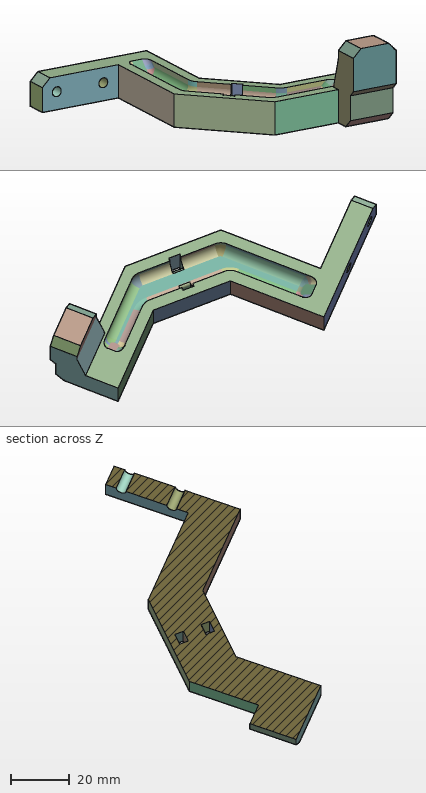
import cadquery as cq
import math

length = 97.25
thickness = 12.0
foot_width = 8.0
cross_arm_bottom = 30.1
cross_arm_width = 16.0
upright_left = 54.5
upright_width = 15.1
outer_bend_x = 34.4
inner_bend_x = 44.6
chamfer = 3.0

height = 29.0
total_width = 79.5
pad_depth = 17.0
pad_toe = 3.1
pad_slope_top = 23.0
pad_step = 2.0

rim = 4.0
groove_depth = 5.0
groove_left = 7.0
groove_end_margin = 12.2
headroom = 1.0
floor_fillet = 3.0
ramp_fillet = 2.0
bend_radius = 4.9

strap_length = 4.0
strap_width = 2.9
strap_overlap = 1.1
strap_rounding = 1.0

hole_diameter = 3.5
hole_height = 6.5
hole_positions = (5.7, 24.2)

cross_arm_top = cross_arm_bottom + cross_arm_width
upright_right = upright_left + upright_width
outer_bend_y = cross_arm_top + upright_left - outer_bend_x
inner_bend_y = cross_arm_bottom + upright_right - inner_bend_x
diagonal_width = (inner_bend_x - cross_arm_bottom - outer_bend_x + cross_arm_top) / math.sqrt(2)
floor_z = thickness - groove_depth


def make_arm():
    outline = [
        (0, 0), (foot_width, 0), (foot_width, cross_arm_bottom),
        (inner_bend_x, cross_arm_bottom), (upright_right, inner_bend_y),
        (upright_right, length), (upright_left, length),
        (upright_left, outer_bend_y), (outer_bend_x, cross_arm_top),
        (0, cross_arm_top),
    ]
    arm = cq.Workplane("XY").polyline(outline).close().extrude(thickness)
    return arm.faces("<Y").edges(">Z").chamfer(chamfer)


def make_pad():
    stem_right = total_width - pad_step
    profile = [
        (upright_right - pad_toe, 0), (stem_right - chamfer, 0), (stem_right, chamfer),
        (stem_right, thickness), (total_width, thickness + pad_step),
        (total_width, height), (upright_right, height),
        (upright_right, pad_slope_top), (upright_right - pad_toe, thickness),
    ]
    pad = cq.Workplane("XZ", origin=(0, length, 0)).polyline(profile).close().extrude(pad_depth)
    return pad.faces(">Z").edges("|X").chamfer(chamfer)


def make_groove():
    bend_shift = rim * math.tan(math.pi / 8)
    low, high = cross_arm_bottom + rim, cross_arm_top - rim
    left, right = upright_left + rim, upright_right - rim
    end = length - groove_end_margin + headroom
    start = groove_left - headroom
    outer_bends = [(left, outer_bend_y - bend_shift), (outer_bend_x + bend_shift, high)]
    inner_bends = [(inner_bend_x - bend_shift, low), (right, inner_bend_y + bend_shift)]
    outline = [(start, low), *inner_bends, (right, end), (left, end), *outer_bends,
               (start, high)]
    groove = cq.Workplane("XY", origin=(0, 0, floor_z)).polyline(outline).close()
    groove = groove.extrude(groove_depth + 2 * headroom)

    for x, y in outer_bends + inner_bends:
        bend_edge = cq.NearestToPointSelector((x, y, floor_z + groove_depth / 2 + headroom))
        groove = groove.edges(bend_edge).fillet(bend_radius)

    ramp = groove_depth + headroom
    groove = groove.faces("<X or >Y").edges("<Z").chamfer(ramp)
    groove = groove.faces("<Z").edges("not (<X or >Y)").fillet(floor_fillet)

    ramp_middles = [
        (start + ramp / 2, (low + high) / 2, floor_z + ramp / 2),
        ((left + right) / 2, end - ramp / 2, floor_z + ramp / 2),
    ]
    for middle in ramp_middles:
        ramp_face = groove.faces(cq.NearestToPointSelector(middle))
        groove = ramp_face.edges("not >Z").fillet(ramp_fillet)
    return groove


def make_strap_slot(diagonal_side, inward):
    def at(distance, z):
        return (diagonal_side + inward * distance, z)

    middle = ((outer_bend_x + upright_left) / 2, (cross_arm_top + outer_bend_y) / 2, 0)
    across = cq.Plane(origin=middle, xDir=(1, -1, 0), normal=(-1, -1, 0))
    outer = rim - strap_overlap
    inner = outer + strap_width
    floor_edge = inner + strap_rounding
    arc_offset = strap_rounding * (1 - math.sqrt(0.5))
    return (
        cq.Workplane(across)
        .moveTo(*at(outer, 0))
        .lineTo(*at(inner, 0))
        .lineTo(*at(inner, floor_z - strap_rounding))
        .threePointArc(at(inner + arc_offset, floor_z - arc_offset), at(floor_edge, floor_z))
        .lineTo(*at(floor_edge, thickness))
        .lineTo(*at(outer, thickness))
        .close()
        .extrude(strap_length / 2, both=True)
    )


def make_foot_holes():
    return (
        cq.Workplane("YZ")
        .pushPoints([(y, hole_height) for y in hole_positions])
        .circle(hole_diameter / 2)
        .extrude(foot_width)
    )


result = make_arm().union(make_pad())
result = result.cut(make_groove()).cut(make_foot_holes())
for side, direction in ((0, 1), (diagonal_width, -1)):
    result = result.cut(make_strap_slot(side, direction))
result = cq.Workplane(result.solids().val())